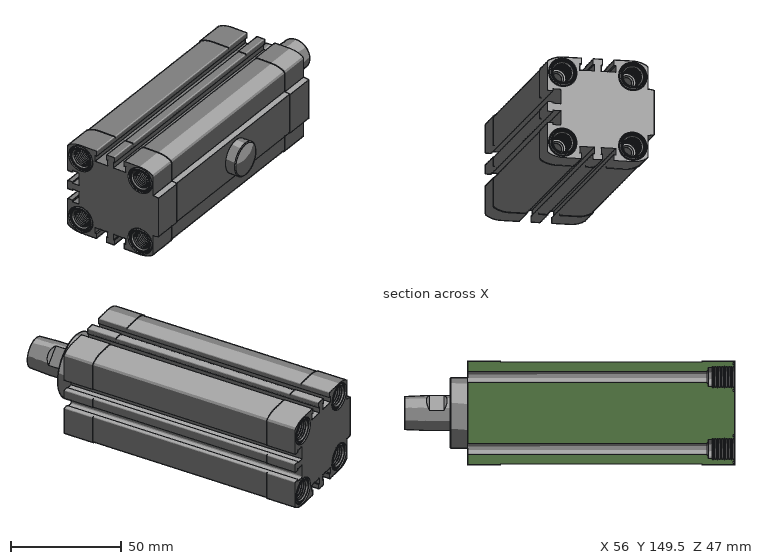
import cadquery as cq
import math


TOTAL_LENGTH = 149.5
HALF_SECTION = 23.5
BODY_LENGTH = 121.0
CAP_LENGTH = 15.0
TUBE_INSET = 0.3

CORNER_RADIUS = 13.0
CORNER_START = 16.1
CORNER_EDGE_ROUND = 1.5
PAD_REACH = 26.3
PAD_HALF_WIDTH = 10.8
PAD_CROWN_DROP = 0.5

SLOT_INNER = 2.2
SLOT_OUTER = 7.5
SLOT_UNDERCUT = 0.9
RIB_UNDERCUT = 0.6
SLOT_LIP = 2.7
SLOT_LIP_ROUND = 0.5
FACE_SLOT_DEPTH = 5.7
SIDE_SLOT_DEPTH = 6.3
SIDE_FLOOR_ROUND = 0.6

HOLE_OFFSET = 16.3
THROUGH_DIAMETER = 5.0
SEAT_DIAMETER = 6.5
BORE_DIAMETER = 8.5
BORE_DEPTH = 12.0
THREAD_DIAMETER = 9.5
THREAD_PITCH = 1.0
THREAD_TURNS = 9
BORE_MOUTH_DIAMETER = 10.0
RIM_DIAMETER = 10.9
GROOVE_INNER_DIAMETER = 12.0
GROOVE_OUTER_DIAMETER = 12.9
GROOVE_MOUTH_DIAMETER = 13.2
GROOVE_DEPTH = 0.7
RIM_DEPTH = 0.3

COLLAR_DIAMETER = 32.0
COLLAR_LENGTH = 8.0
COLLAR_CHAMFER = 0.5
ROD_DIAMETER = 16.0
TIP_DIAMETER = 15.1
TIP_LENGTH = 9.7
FLAT_DISTANCE = 6.5
FLAT_LENGTH = 6.5
FLAT_FROM_TIP = 11.4
FLAT_RUNOUT = 1.5
FLAT_TURN = 45

PLUG_DIAMETER = 17.0
PLUG_Y = 63.0
PLUG_REACH = 32.5
PLUG_DOME = 1.0
PLUG_EDGE = 0.5

TUBE_LENGTH = BODY_LENGTH - 2 * CAP_LENGTH
ORIGIN = (0, 0, 0)
X_AXIS = (1, 0, 0)
Y_AXIS = (0, 1, 0)
CLEARANCE = 1.5


def body_prism(inset, start, length):
    """Square prism with curved corners, every face lying inside the full section by inset."""
    half = HALF_SECTION - inset
    radius = CORNER_RADIUS - inset
    centre_z = HALF_SECTION - CORNER_RADIUS

    def arc_height(x):
        return centre_z + math.sqrt(radius**2 - (x - CORNER_START) ** 2)

    middle_x = (CORNER_START + half) / 2
    middle_z = arc_height(middle_x)
    end_z = arc_height(half)
    prism = (
        cq.Workplane("XZ", origin=(0, start, 0))
        .moveTo(-CORNER_START, half)
        .lineTo(CORNER_START, half)
        .threePointArc((middle_x, middle_z), (half, end_z))
        .lineTo(half, -end_z)
        .threePointArc((middle_x, -middle_z), (CORNER_START, -half))
        .lineTo(-CORNER_START, -half)
        .threePointArc((-middle_x, -middle_z), (-half, -end_z))
        .lineTo(-half, end_z)
        .threePointArc((-middle_x, middle_z), (-CORNER_START, half))
        .close()
        .extrude(-length)
    )
    return prism.edges("|Y").edges("<X or >X").fillet(CORNER_EDGE_ROUND)


def port_pad(inset, start, length):
    """Pad along the +X side whose long sides curve in slightly toward its outer face."""
    root = HALF_SECTION - inset
    face = PAD_REACH - inset
    face_half = PAD_HALF_WIDTH - PAD_CROWN_DROP
    middle = ((root + face) / 2, PAD_HALF_WIDTH - PAD_CROWN_DROP / 4)
    return (
        cq.Workplane("XZ", origin=(0, start, 0))
        .moveTo(0, PAD_HALF_WIDTH)
        .lineTo(root, PAD_HALF_WIDTH)
        .threePointArc(middle, (face, face_half))
        .lineTo(face, -face_half)
        .threePointArc((middle[0], -middle[1]), (root, -PAD_HALF_WIDTH))
        .lineTo(0, -PAD_HALF_WIDTH)
        .close()
        .extrude(-length)
    )


def body_zone(inset, start, length):
    return body_prism(inset, start, length).union(port_pad(inset, start, length))


def t_slot(depth, side):
    """Slot open toward +Z with an undercut below its lips, along the full body length."""
    lip = HALF_SECTION - SLOT_LIP
    floor = HALF_SECTION - depth
    top = HALF_SECTION + CLEARANCE
    outline = [
        (SLOT_INNER, top),
        (SLOT_INNER, lip),
        (SLOT_INNER - RIB_UNDERCUT, lip),
        (SLOT_INNER - RIB_UNDERCUT, floor),
        (SLOT_OUTER + SLOT_UNDERCUT, floor),
        (SLOT_OUTER + SLOT_UNDERCUT, lip),
        (SLOT_OUTER, lip),
        (SLOT_OUTER, top),
    ]
    points = [(side * x, z) for x, z in outline]
    return cq.Workplane("XZ").polyline(points).close().extrude(-BODY_LENGTH)


def round_floor_corner(cutter):
    """Round the slot's floor corner farther from the rib."""
    floor_edges = cutter.edges("|Y").edges("<Z")
    outer_edge = max(floor_edges.vals(), key=lambda edge: abs(edge.Center().x))
    return cutter.newObject([outer_edge]).fillet(SIDE_FLOOR_ROUND)


def lip_round(x, direction, surface):
    """Sliver that rounds a slot lip; the slot lies on the `direction` side of x."""
    r = SLOT_LIP_ROUND
    inside = x - direction * r
    bow = r * math.sqrt(0.5)
    return (
        cq.Workplane("XZ")
        .moveTo(x, surface - r)
        .threePointArc((inside + direction * bow, surface - r + bow), (inside, surface))
        .lineTo(inside, surface + CLEARANCE)
        .lineTo(x, surface + CLEARANCE)
        .close()
    )


def cut_slots(body):
    zones = (
        (0, 0, CAP_LENGTH),
        (TUBE_INSET, CAP_LENGTH, TUBE_LENGTH),
        (0, BODY_LENGTH - CAP_LENGTH, CAP_LENGTH),
    )
    for turn, depth in ((0, FACE_SLOT_DEPTH), (180, FACE_SLOT_DEPTH), (-90, SIDE_SLOT_DEPTH)):
        for side in (-1, 1):
            cutter = t_slot(depth, side)
            if depth == SIDE_SLOT_DEPTH:
                cutter = round_floor_corner(cutter)
            body = body.cut(cutter.rotate(ORIGIN, Y_AXIS, turn))
            for inset, start, length in zones:
                for x, direction in ((side * SLOT_INNER, side), (side * SLOT_OUTER, -side)):
                    sliver = lip_round(x, direction, HALF_SECTION - inset).extrude(-length)
                    body = body.cut(sliver.translate((0, start, 0)).rotate(ORIGIN, Y_AXIS, turn))
    return body


def bolt_hole():
    """Grooved bore over a through hole, with a shallow groove around the bore mouth."""
    bore = BORE_DIAMETER / 2
    through = THROUGH_DIAMETER / 2
    seat = SEAT_DIAMETER / 2
    mouth = BORE_MOUTH_DIAMETER / 2
    chamfer_end = RIM_DEPTH + mouth - bore
    points = [
        (0, 0),
        (GROOVE_MOUTH_DIAMETER / 2, 0),
        (GROOVE_OUTER_DIAMETER / 2, GROOVE_DEPTH),
        (GROOVE_INNER_DIAMETER / 2, GROOVE_DEPTH),
        (RIM_DIAMETER / 2, RIM_DEPTH),
        (mouth, RIM_DEPTH),
        (bore, chamfer_end),
    ]
    for turn in range(THREAD_TURNS):
        start = chamfer_end + turn * THREAD_PITCH
        points.append((THREAD_DIAMETER / 2, start + THREAD_PITCH / 2))
        points.append((bore, start + THREAD_PITCH))
    points += [
        (bore, BORE_DEPTH),
        (seat, BORE_DEPTH),
        (through, BORE_DEPTH + seat - through),
        (through, BODY_LENGTH),
        (0, BODY_LENGTH),
    ]
    return cq.Workplane("XY").polyline(points).close().revolve(360, ORIGIN, Y_AXIS)


def cylinder_along_y(diameter, start, length):
    return cq.Workplane("XZ", origin=(0, start, 0)).circle(diameter / 2).extrude(-length)


def make_housing():
    body = body_zone(0, 0, CAP_LENGTH)
    body = body.union(body_zone(TUBE_INSET, CAP_LENGTH, TUBE_LENGTH))
    body = body.union(body_zone(0, BODY_LENGTH - CAP_LENGTH, CAP_LENGTH))
    body = cut_slots(body)
    hole = bolt_hole()
    for x in (-HOLE_OFFSET, HOLE_OFFSET):
        for z in (-HOLE_OFFSET, HOLE_OFFSET):
            body = body.cut(hole.translate((x, 0, z)))
    collar = cylinder_along_y(COLLAR_DIAMETER, BODY_LENGTH, COLLAR_LENGTH)
    body = body.union(collar.faces(">Y").chamfer(COLLAR_CHAMFER))
    return body.cut(cylinder_along_y(ROD_DIAMETER, BODY_LENGTH, COLLAR_LENGTH))


def make_rod():
    """Rod seated in the collar, with a tapered tip and two opposite wrench flats."""
    radius = ROD_DIAMETER / 2
    profile = [
        (0, BODY_LENGTH),
        (radius, BODY_LENGTH),
        (radius, TOTAL_LENGTH - TIP_LENGTH),
        (TIP_DIAMETER / 2, TOTAL_LENGTH),
        (0, TOTAL_LENGTH),
    ]
    rod = cq.Workplane("XY").polyline(profile).close().revolve(360, ORIGIN, Y_AXIS)
    flat_end = TOTAL_LENGTH - FLAT_FROM_TIP
    flat_start = flat_end - FLAT_LENGTH
    flat_cut = (
        cq.Workplane("XY")
        .polyline([
            (FLAT_DISTANCE, flat_start),
            (FLAT_DISTANCE, flat_end),
            (radius, flat_end + FLAT_RUNOUT),
            (radius, flat_start - FLAT_RUNOUT),
        ])
        .close()
        .extrude(radius, both=True)
    )
    for turn in (FLAT_TURN, FLAT_TURN + 180):
        rod = rod.cut(flat_cut.rotate(ORIGIN, Y_AXIS, turn))
    return rod


def make_plug():
    """Round plug standing on the port pad, with a chamfered edge and a domed end."""
    radius = PLUG_DIAMETER / 2
    dome_radius = radius - PLUG_EDGE
    dome_start = PLUG_REACH - PLUG_DOME
    sphere = (dome_radius**2 + PLUG_DOME**2) / (2 * PLUG_DOME)
    middle = dome_radius / 2
    middle_x = PLUG_REACH - sphere + math.sqrt(sphere**2 - middle**2)
    pad_face = PAD_REACH - TUBE_INSET
    return (
        cq.Workplane("XY", origin=(0, PLUG_Y, 0))
        .moveTo(pad_face, 0)
        .lineTo(pad_face, radius)
        .lineTo(dome_start - PLUG_EDGE, radius)
        .lineTo(dome_start, dome_radius)
        .threePointArc((middle_x, middle), (PLUG_REACH, 0))
        .close()
        .revolve(360, ORIGIN, X_AXIS)
    )


housing = make_housing()
rod = make_rod()
plug = make_plug()

result = cq.Compound.makeCompound([housing.val(), rod.val(), plug.val()])